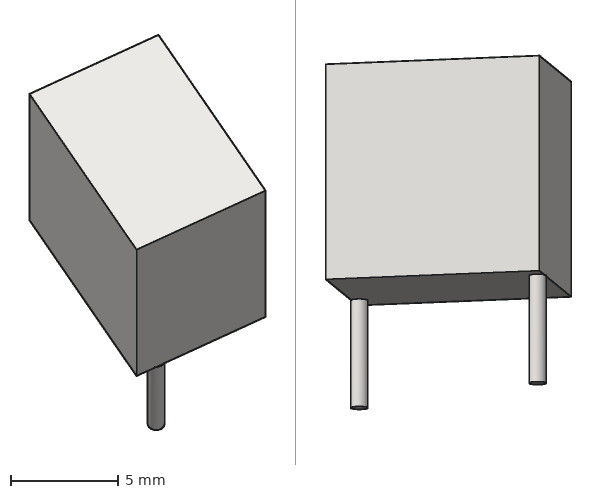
import cadquery as cq

total_height = 15.3
housing_length = 10.2
housing_width = 6.9
housing_height = 10.2

pin_diameter = 0.81
pin_span = 10.31
pin_row_spacing = 4.4
pin_length = total_height - housing_height
pin_x = (pin_span - pin_diameter) / 2
pin_y = pin_row_spacing / 2
pin_positions = [(-pin_x, pin_y), (pin_x, -pin_y)]


def make_housing():
    """Plain block standing on the plane Z = 0."""
    return cq.Workplane("XY").box(
        housing_length, housing_width, housing_height, centered=(True, True, False)
    )


def make_pin(x, y):
    """Round pin whose top face touches the underside of the housing."""
    return cq.Workplane("XY").center(x, y).circle(pin_diameter / 2).extrude(-pin_length)


housing = make_housing()
pins = [make_pin(x, y) for x, y in pin_positions]

result = cq.Compound.makeCompound([housing.val(), *[pin.val() for pin in pins]])